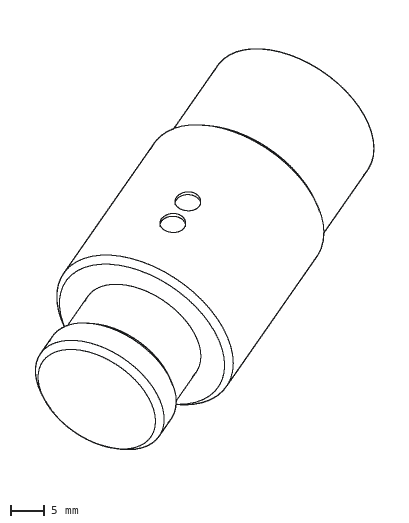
import cadquery as cq

total_length = 65.0
body_diameter = 30.0
rear_diameter = 27.7
neck_diameter = 20.0
head_diameter = 21.9
edge_chamfer = 1.0

head_end = 6.0
body_start = 15.0
body_end = 47.05

recess_diameter = 3.9
recess_depth = 0.65
first_recess_position = 25.2
recess_spacing = 5.0
recess_count = 2


def cylinder_along_y(diameter, start, end):
    """Solid cylinder on the Y axis between two Y positions."""
    plane = cq.Workplane("XZ", origin=(0, start, 0))
    return plane.circle(diameter / 2).extrude(start - end)


def recess_cutter(position):
    """Vertical cylinder whose flat bottom lies just below the top of the body."""
    floor = body_diameter / 2 - recess_depth
    plane = cq.Workplane("XY", origin=(0, position, floor))
    return plane.circle(recess_diameter / 2).extrude(2 * recess_depth)


head = cylinder_along_y(head_diameter, 0, head_end).edges().chamfer(edge_chamfer)
neck = cylinder_along_y(neck_diameter, head_end, body_start)
body = cylinder_along_y(body_diameter, body_start, body_end).edges().chamfer(edge_chamfer)
rear = cylinder_along_y(rear_diameter, body_end, total_length)
result = head.union(neck).union(body).union(rear)

for index in range(recess_count):
    result = result.cut(recess_cutter(first_recess_position + index * recess_spacing))